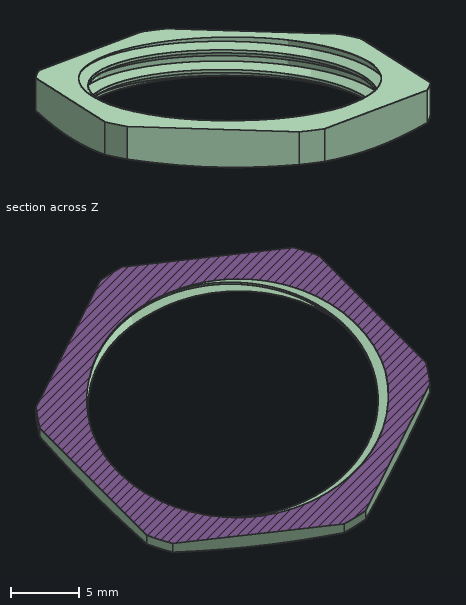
import cadquery as cq
import math

across_flats = 26.0
corner_diameter = 28.9
thickness = 2.95

chamfer_bottom_radius = 12.8
chamfer_angle = 15.0

bore_radius = 10.6
root_radius = 11.35
pitch = 1.5
root_width = 0.4
flank_angle = 30.0
root_angle_at_top = 157.0
turns_below_top = 3
turns_above_top = 0.7
bore_overlap = 0.12


def hexagonal_body():
    """Hexagon with its flats facing +X and -X, and its corners rounded to a cylinder."""
    hexagon = cq.Workplane("XY").polygon(6, across_flats, circumscribed=True).extrude(thickness)
    corner_cylinder = cq.Workplane("XY").circle(corner_diameter / 2).extrude(thickness)
    return hexagon.intersect(corner_cylinder)


def chamfer_envelope():
    """Cone that widens upward from the bottom face and trims the lower corners."""
    top_radius = chamfer_bottom_radius + thickness / math.tan(math.radians(chamfer_angle))
    return (
        cq.Workplane("XZ")
        .polyline([(0, 0), (chamfer_bottom_radius, 0), (top_radius, thickness), (0, thickness)])
        .close()
        .revolve(360, (0, 0, 0), (0, 1, 0))
    )


def thread_groove():
    """Helical groove with sloping flanks, longer than the bore at both ends."""
    inner_radius = bore_radius - bore_overlap
    half_root = root_width / 2
    half_mouth = half_root + (root_radius - inner_radius) * math.tan(math.radians(flank_angle))
    profile = (
        cq.Workplane("XZ")
        .polyline([
            (inner_radius, -half_mouth),
            (root_radius, -half_root),
            (root_radius, half_root),
            (inner_radius, half_mouth),
        ])
        .close()
    )
    helix = cq.Wire.makeHelix(pitch, pitch * (turns_below_top + turns_above_top), bore_radius)
    start_height = thickness - turns_below_top * pitch
    return (
        profile.sweep(cq.Workplane(obj=helix), isFrenet=True)
        .rotate((0, 0, 0), (0, 0, 1), root_angle_at_top)
        .translate((0, 0, start_height))
    )


def bore():
    """Through bore, turned so that its seam lies clear of the groove's seams."""
    return cq.Workplane("XY").circle(bore_radius).extrude(thickness).rotate((0, 0, 0), (0, 0, 1), 90)


nut_blank = hexagonal_body().intersect(chamfer_envelope())
result = nut_blank.cut(bore()).cut(thread_groove())